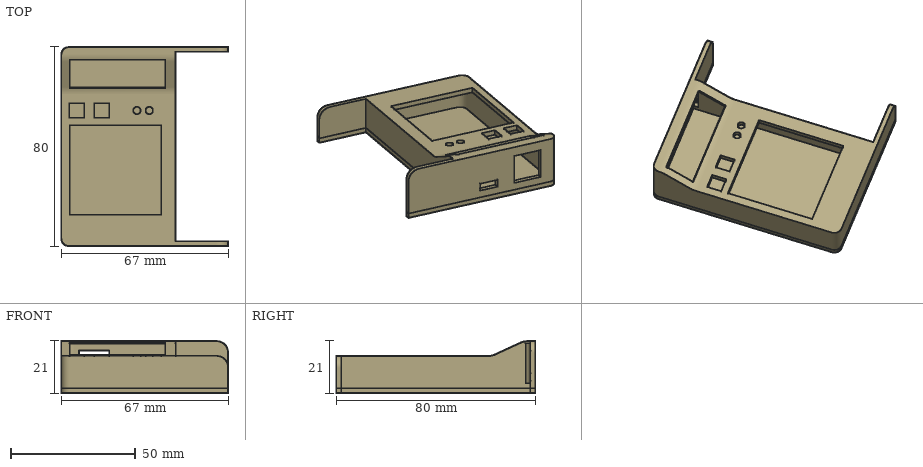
import cadquery as cq
import math

length = 80.0
body_width = 46.0
wing_reach = 67.05
wall = 2.0
corner_radius = 3.05

base_height = 2.0
deck_height = 15.0
rear_height = 21.0

wing_tip_radius = 4.65

slope_foot_y = 62.5
slope_head_y = 75.5
slope_blend = 6.4
bezel_thickness = 0.9
slope_angle = math.atan2(rear_height - deck_height, slope_head_y - slope_foot_y)

window_x = (3.4, 41.8)
window_y = (63.45, 74.8)

edge_margin = 3.4
screen_width = 36.8
screen_y = (12.65, 48.65)
button_size = 6.0
control_row_y = 54.5
button_centres_x = (6.3, 16.25)
led_diameter = 3.0
led_centres_x = (30.4, 35.4)

port_bottom = 5.05
power_port = (7.2, 12.0, 12.0)
data_port = (26.7, 8.0, 3.05)

board_slot_width = 1.9
board_slot_bottom = 4.0

deck_ceiling = deck_height - wall
rear_ceiling = 20.0
ceiling_step_y = slope_foot_y + 0.8


def box(x, y, z):
    """Box from three (low, high) ranges."""
    return (
        cq.Workplane("XY")
        .box(x[1] - x[0], y[1] - y[0], z[1] - z[0], centered=False)
        .translate((x[0], y[0], z[0]))
    )


def footprint(bottom, top):
    """U-shaped outline of the body and its two wings, with rounded outer corners."""
    outline = box((0, wing_reach), (0, length), (bottom, top))
    between_wings = box((body_width, wing_reach), (wall, length - wall), (bottom, top))
    return outline.edges("|Z and <X").fillet(corner_radius).cut(between_wings)


def side_profile():
    """Side silhouette extruded across the full width, with both ends of the slope blended."""
    return (
        cq.Workplane("YZ")
        .polyline([
            (0, 0),
            (length, 0),
            (length, rear_height),
            (slope_head_y, rear_height),
            (slope_foot_y, deck_height),
            (0, deck_height),
        ])
        .close()
        .extrude(wing_reach)
        .edges(cq.selectors.NearestToPointSelector((wing_reach / 2, slope_head_y, rear_height)))
        .fillet(slope_blend)
        .edges(cq.selectors.NearestToPointSelector((wing_reach / 2, slope_foot_y, deck_height)))
        .fillet(slope_blend)
    )


def wing_tip(y, top):
    """Material outside the rounded upper tip of one wing."""
    centre_z = top - wing_tip_radius
    centre_x = wing_reach - wing_tip_radius
    corner = box((centre_x, wing_reach), y, (centre_z, top))
    round_tip = (
        cq.Workplane("XZ", origin=(centre_x, y[0], centre_z))
        .circle(wing_tip_radius)
        .extrude(y[0] - y[1])
    )
    return corner.cut(round_tip)


def cavity():
    """Hollow interior, open at the bottom, following the deck and the bezel."""
    slope = math.tan(slope_angle)
    underside_foot_z = deck_height - bezel_thickness / math.cos(slope_angle)
    ceiling_step_z = underside_foot_z + slope * (ceiling_step_y - slope_foot_y)
    ceiling_head_y = slope_foot_y + (rear_ceiling - underside_foot_z) / slope
    room = (
        cq.Workplane("YZ", origin=(wall, 0, 0))
        .polyline([
            (wall, base_height),
            (length - wall, base_height),
            (length - wall, rear_ceiling),
            (ceiling_head_y, rear_ceiling),
            (ceiling_step_y, ceiling_step_z),
            (ceiling_step_y, deck_ceiling),
            (wall, deck_ceiling),
        ])
        .close()
        .extrude(body_width - 2 * wall)
    )
    return room.edges("|Z and <X").edges("<Y or >Y").fillet(corner_radius)


def bezel_window():
    """Cutter for the window, with its sides square to the bezel."""
    centre_x = sum(window_x) / 2
    centre_y = sum(window_y) / 2
    centre_z = deck_height + (centre_y - slope_foot_y) * math.tan(slope_angle)
    width = window_x[1] - window_x[0]
    slant_height = (window_y[1] - window_y[0]) / math.cos(slope_angle)
    return (
        cq.Workplane("XY")
        .box(width, slant_height, 4 * bezel_thickness)
        .rotate((0, 0, 0), (1, 0, 0), math.degrees(slope_angle))
        .translate((centre_x, centre_y, centre_z))
    )


def deck_openings():
    """Cutters for the screen, the buttons and the indicator lights."""
    deck = (deck_ceiling, deck_height)
    half = button_size / 2
    cutters = [box((edge_margin, edge_margin + screen_width), screen_y, deck)]
    for x in button_centres_x:
        cutters.append(box((x - half, x + half), (control_row_y - half, control_row_y + half), deck))
    for x in led_centres_x:
        origin = (x, control_row_y, deck_ceiling)
        cutters.append(cq.Workplane("XY", origin=origin).circle(led_diameter / 2).extrude(wall))
    return cutters


def rear_ports():
    """Cutters for the two rectangular ports in the rear wall."""
    cutters = []
    for left, width, height in (power_port, data_port):
        port_z = (port_bottom, port_bottom + height)
        cutters.append(box((left, left + width), (length - wall, length), port_z))
    return cutters


def board_slot():
    """Cutter for the upright slot in the +X wall."""
    rear_face_y = length - wall
    return box(
        (body_width - wall, body_width),
        (rear_face_y - board_slot_width, rear_face_y),
        (board_slot_bottom, rear_ceiling),
    )


def make_housing():
    """Hollow cover with sloped bezel, openings and rounded wings."""
    body = footprint(base_height, rear_height).intersect(side_profile())
    cutters = [
        wing_tip((0, wall), deck_height),
        wing_tip((length - wall, length), rear_height),
        cavity(),
        bezel_window(),
        *deck_openings(),
        *rear_ports(),
        board_slot(),
    ]
    for cutter in cutters:
        body = body.cut(cutter)
    return body


def make_base():
    """Flat bottom plate with the same outline as the housing."""
    return footprint(0, base_height)


housing = make_housing()
base = make_base()
result = cq.Compound.makeCompound([housing.val(), base.val()])